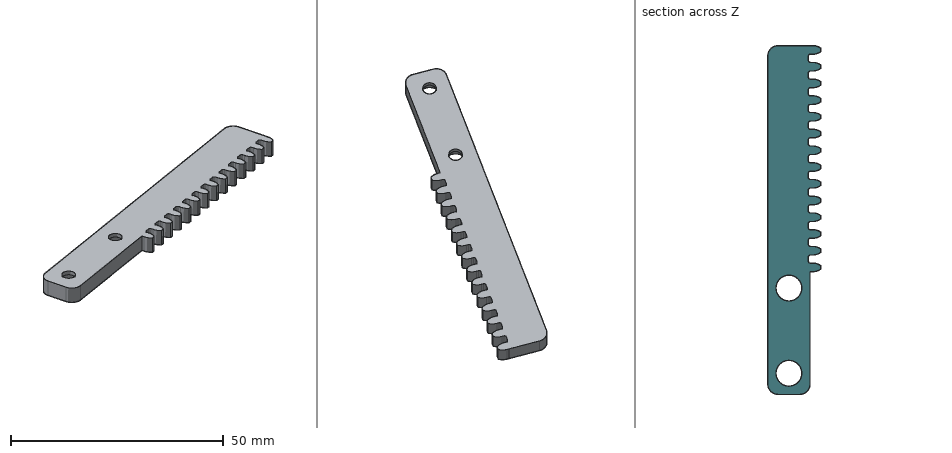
import cadquery as cq
import math

bar_width = 10.0
bar_thickness = 4.0
bar_length = 81.94
corner_radius = 2.5

hole_diameter = 3.2
counterbore_diameter = 6.0
counterbore_depth = 3.0
hole_positions = (5.0, 25.0)

gear_module = 1.25
tooth_pitch = math.pi * gear_module
tooth_count = 14
first_tooth_y = 29.85
tooth_tip_x = 12.5
tooth_root_x = 9.58
flank_start_x = 10.5
flank_radius = 3.0
tooth_half_width = 1.03
tip_half_width = 0.4
root_fillet_radius = 0.42


def make_bar():
    """Flat bar, rounded at every corner except the one at the last tooth."""
    bar = cq.Workplane("XY").box(bar_width, bar_length, bar_thickness, centered=False)
    return bar.edges("|Z and (<X or <Y)").fillet(corner_radius)


def make_tooth(center_y):
    """Tooth with a straight base and two arc flanks that narrow to a flat tip."""
    return (
        cq.Workplane("XY")
        .moveTo(tooth_root_x, center_y - tooth_half_width)
        .lineTo(flank_start_x, center_y - tooth_half_width)
        .radiusArc((tooth_tip_x, center_y - tip_half_width), -flank_radius)
        .lineTo(tooth_tip_x, center_y + tip_half_width)
        .radiusArc((flank_start_x, center_y + tooth_half_width), -flank_radius)
        .lineTo(tooth_root_x, center_y + tooth_half_width)
        .close()
        .extrude(bar_thickness)
    )


def make_gap(center_y):
    """Space between two neighbouring teeth, with rounded root corners."""
    gap_width = tooth_pitch - 2 * tooth_half_width
    gap_depth = tooth_tip_x - tooth_root_x
    gap = (
        cq.Workplane("XY")
        .center(tooth_root_x + gap_depth / 2, center_y)
        .rect(gap_depth, gap_width)
        .extrude(bar_thickness)
    )
    return gap.edges("|Z and <X").fillet(root_fillet_radius)


def make_holes():
    """Through holes for the screws, counterbored from the underside."""
    seats = cq.Workplane("XY").pushPoints([(bar_width / 2, y) for y in hole_positions])
    shafts = seats.circle(hole_diameter / 2).extrude(bar_thickness)
    counterbores = seats.circle(counterbore_diameter / 2).extrude(counterbore_depth)
    return shafts.union(counterbores)


tooth_centers = [first_tooth_y + i * tooth_pitch for i in range(tooth_count)]

result = make_bar()
for tooth_y in tooth_centers[:-1]:
    result = result.cut(make_gap(tooth_y + tooth_pitch / 2))
for tooth_y in tooth_centers:
    result = result.union(make_tooth(tooth_y))

end_trim = cq.Workplane("XY").box(tooth_tip_x, bar_length, bar_thickness, centered=False)
result = result.intersect(end_trim).cut(make_holes())